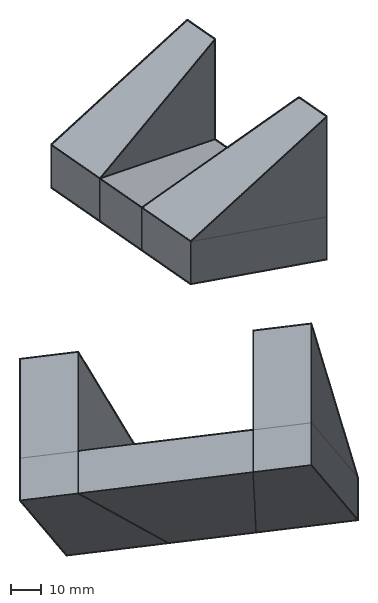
import cadquery as cq

LENGTH = 100.0
DEPTH = 50.0
HEIGHT = 50.0
BASE_HEIGHT = 15.0

CHEEK_FRONT_WIDTH = 35.0
CHEEK_BACK_WIDTH = 20.0


def make_floor():
    """Flat middle body that widens towards the back, between the cheeks."""
    outline = [
        (CHEEK_FRONT_WIDTH, 0),
        (LENGTH - CHEEK_FRONT_WIDTH, 0),
        (LENGTH - CHEEK_BACK_WIDTH, DEPTH),
        (CHEEK_BACK_WIDTH, DEPTH),
    ]
    return cq.Workplane("XY").polyline(outline).close().extrude(BASE_HEIGHT)


def make_cheek(outer_x, inward):
    """Tapered side body: a foot as high as the floor and a wedge rising towards the back.

    outer_x is the place of its outer face; inward is +1 or -1 along X.
    """
    plan = [
        (outer_x, 0),
        (outer_x + inward * CHEEK_FRONT_WIDTH, 0),
        (outer_x + inward * CHEEK_BACK_WIDTH, DEPTH),
        (outer_x, DEPTH),
    ]
    foot = cq.Workplane("XY").polyline(plan).close().extrude(BASE_HEIGHT)
    upper_prism = foot.faces(">Z").wires().toPending().extrude(HEIGHT - BASE_HEIGHT, combine=False)
    side_profile = [(0, BASE_HEIGHT), (DEPTH, BASE_HEIGHT), (DEPTH, HEIGHT)]
    ramp = cq.Workplane("YZ").polyline(side_profile).close().extrude(LENGTH)
    wedge = upper_prism.intersect(ramp)
    return foot.union(wedge, clean=False)


floor = make_floor()
cheeks = [make_cheek(outer_x, inward) for outer_x, inward in ((0, 1), (LENGTH, -1))]

result = cq.Compound.makeCompound([floor.val(), *[cheek.val() for cheek in cheeks]])